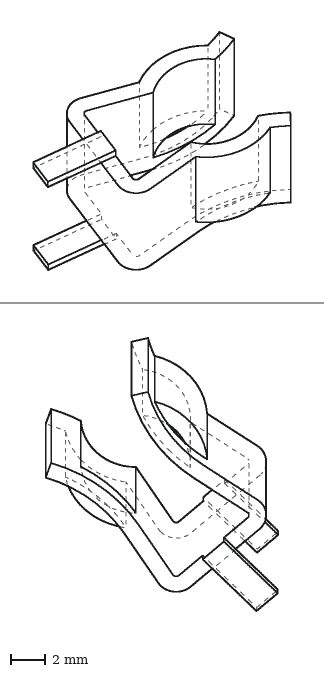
import cadquery as cq
import math

thickness = 1.0
height = 7.1
plain_strip_height = 1.08

bend_outer_radius = 1.23
bend_inner_radius = bend_outer_radius - thickness
bend_x = -2.74
bend_y = bend_outer_radius

flare_inner_radius = 9.38
flare_outer_radius = flare_inner_radius - thickness
flare_x = -11.4
flare_y = 6.85
tip_angle = math.radians(28.9)

seat_outer_radius = 4.17
seat_inner_radius = seat_outer_radius - thickness
seat_y = 7.61

pin_width = 1.69
pin_thickness = 0.51
pin_overhang = 3.58
top_pin_x = -0.05
bottom_pin_x = 0

center_distance = math.hypot(bend_x - flare_x, bend_y - flare_y)
center_angle = math.atan2(bend_y - flare_y, bend_x - flare_x)
leg_angle = center_angle + math.acos((flare_inner_radius + bend_inner_radius) / center_distance)


def flare_point(radius, angle):
    return (flare_x + radius * math.cos(angle), flare_y + radius * math.sin(angle))


def bend_point(radius, angle):
    return (bend_x + radius * math.cos(angle), bend_y + radius * math.sin(angle))


def make_plain_arm():
    """Left half of the strip: half back wall, bend, straight leg and flare."""
    flare_middle = (leg_angle + tip_angle) / 2
    leg_side = leg_angle + math.pi
    wall_side = 3 * math.pi / 2
    bend_middle = (leg_side + wall_side) / 2
    return (
        cq.Workplane("XY")
        .moveTo(0, 0)
        .lineTo(bend_x, 0)
        .threePointArc(bend_point(bend_outer_radius, bend_middle), bend_point(bend_outer_radius, leg_side))
        .lineTo(*flare_point(flare_outer_radius, leg_angle))
        .threePointArc(
            flare_point(flare_outer_radius, flare_middle), flare_point(flare_outer_radius, tip_angle)
        )
        .lineTo(*flare_point(flare_inner_radius, tip_angle))
        .threePointArc(
            flare_point(flare_inner_radius, flare_middle), flare_point(flare_inner_radius, leg_angle)
        )
        .lineTo(*bend_point(bend_inner_radius, leg_side))
        .threePointArc(bend_point(bend_inner_radius, bend_middle), bend_point(bend_inner_radius, wall_side))
        .lineTo(0, thickness)
        .close()
        .extrude(height)
    )


def seat_cylinder(radius):
    """Upright cylinder on the seat axis, above the plain strip."""
    return (
        cq.Workplane("XY", origin=(0, seat_y, plain_strip_height))
        .circle(radius)
        .extrude(height - plain_strip_height)
    )


def make_arm():
    """Plain arm with the seat bulging outward through the flare."""
    behind_flare = cq.Workplane("XY").center(flare_x, flare_y).circle(flare_inner_radius).extrude(height)
    bulge = seat_cylinder(seat_outer_radius).intersect(behind_flare)
    return make_plain_arm().union(bulge).cut(seat_cylinder(seat_inner_radius))


def make_pin(x, z):
    """Flat pin over the back wall, reaching out behind it; z is its underside."""
    return (
        cq.Workplane("XY")
        .box(pin_width, pin_overhang + thickness, pin_thickness, centered=(True, False, False))
        .translate((x, -pin_overhang, z))
    )


left_arm = make_arm()
result = (
    left_arm.union(left_arm.mirror("YZ"))
    .union(make_pin(top_pin_x, height))
    .union(make_pin(bottom_pin_x, -pin_thickness))
)